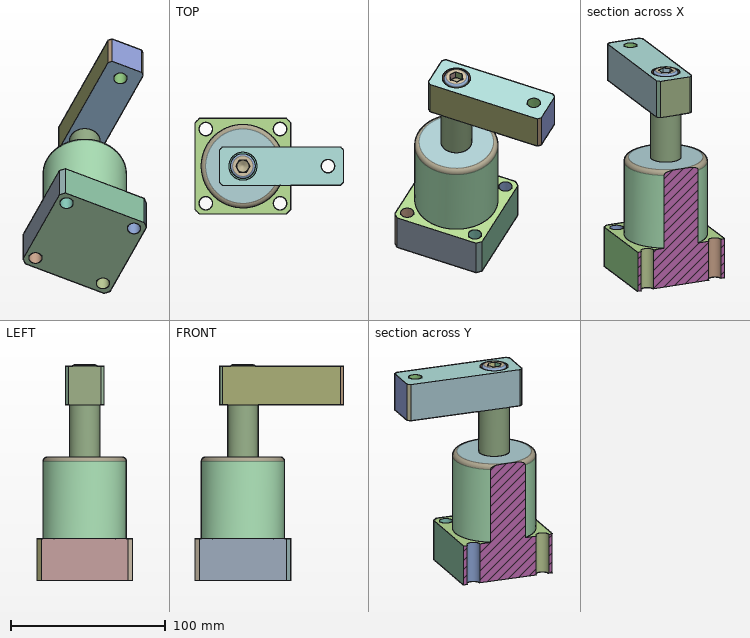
import cadquery as cq
import math

total_height = 139.6

base_side = 62.0
base_height = 27.1
base_chamfer = 3.0
mount_hole_spacing = 48.0
hole_diameter = 8.5

barrel_diameter = 54.0
barrel_fillet = 3.0
housing_height = 80.0

rod_diameter = 20.0

arm_width = 25.0
arm_thickness = 25.0
arm_chamfer = 2.0
arm_tail = 15.1
arm_reach = 65.0
tip_hole_offset = 55.0

screw_protrusion = 1.0
screw_head_diameter = 16.0
screw_head_height = 10.0
screw_head_fillet = 1.4
counterbore_diameter = 18.1
socket_across_flats = 8.0
socket_depth = 5.0
socket_cone_angle = 120.0

arm_top = total_height - screw_protrusion
arm_bottom = arm_top - arm_thickness
arm_length = arm_tail + arm_reach
arm_center_x = (arm_reach - arm_tail) / 2
screw_seat = total_height - screw_head_height
counterbore_depth = arm_top - screw_seat
rod_length = arm_bottom - housing_height
socket_across_corners = socket_across_flats / math.cos(math.radians(30))
socket_floor = total_height - socket_depth
socket_cone_radius = socket_across_flats / 2
socket_cone_depth = socket_cone_radius / math.tan(math.radians(socket_cone_angle / 2))


def make_housing():
    """Square flange with four through holes, carrying the round cylinder barrel."""
    base = (
        cq.Workplane("XY")
        .rect(base_side, base_side)
        .extrude(base_height)
        .edges("|Z")
        .chamfer(base_chamfer)
        .faces(">Z")
        .workplane()
        .rect(mount_hole_spacing, mount_hole_spacing, forConstruction=True)
        .vertices()
        .hole(hole_diameter)
    )
    barrel = (
        cq.Workplane("XY")
        .circle(barrel_diameter / 2)
        .extrude(housing_height)
        .faces(">Z")
        .edges()
        .fillet(barrel_fillet)
    )
    return base.union(barrel)


def make_rod():
    """Plain piston rod between the barrel top and the arm underside."""
    return (
        cq.Workplane("XY")
        .workplane(offset=housing_height)
        .circle(rod_diameter / 2)
        .extrude(rod_length)
    )


def make_arm():
    """Rectangular clamp arm with a counterbored screw seat and a tip hole."""
    bar = (
        cq.Workplane("XY")
        .workplane(offset=arm_bottom)
        .center(arm_center_x, 0)
        .rect(arm_length, arm_width)
        .extrude(arm_thickness)
        .edges("|Z")
        .chamfer(arm_chamfer)
    )
    top = cq.Workplane("XY").workplane(offset=arm_top)
    counterbore = top.circle(counterbore_diameter / 2).extrude(-counterbore_depth)
    tip_hole = top.center(tip_hole_offset, 0).circle(hole_diameter / 2).extrude(-arm_thickness)
    return bar.cut(counterbore).cut(tip_hole)


def make_screw():
    """Round-edged screw head with a hexagon socket ending in a conical floor."""
    head = (
        cq.Workplane("XY")
        .workplane(offset=screw_seat)
        .circle(screw_head_diameter / 2)
        .extrude(screw_head_height)
        .faces(">Z")
        .edges()
        .fillet(screw_head_fillet)
    )
    socket = (
        cq.Workplane("XY")
        .workplane(offset=total_height)
        .polygon(6, socket_across_corners)
        .extrude(-socket_depth)
    )
    drill_point = cq.Workplane(
        cq.Solid.makeCone(
            socket_cone_radius,
            0,
            socket_cone_depth,
            pnt=cq.Vector(0, 0, socket_floor),
            dir=cq.Vector(0, 0, -1),
        )
    )
    return head.cut(socket).cut(drill_point)


housing = make_housing().solids()
rod = make_rod().solids()
arm = make_arm().solids()
screw = make_screw().solids()

result = cq.Compound.makeCompound([housing.val(), rod.val(), arm.val(), screw.val()])